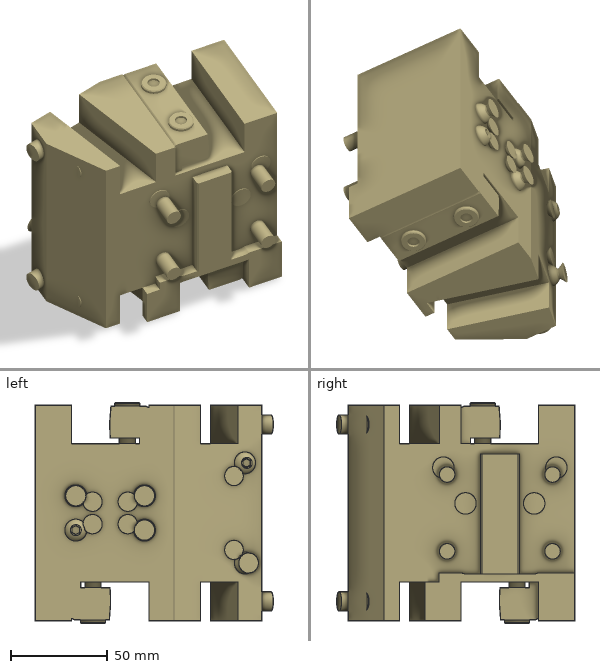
import cadquery as cq
import math


BODY_WIDTH = 62.0
BODY_LENGTH = 117.8
BODY_HEIGHT = 112.0
BACK_Y = 39.0
FRONT_Y = BACK_Y - BODY_LENGTH
TOP_Z = BODY_HEIGHT / 2
FACE_TILT = 15.0
SLANT_LENGTH_Y = 45.8
FRONT_BEVEL_TILT = 30.0
FRONT_BEVEL_WIDTH = 32.2
SLANT_TOP_Y = FRONT_Y + SLANT_LENGTH_Y

SLOT_WIDTH = 40.1
SLOT_DEPTH = 20.0
SLOT_FLOOR_Z = TOP_Z - SLOT_DEPTH
TILTED_SLOT_WIDTH = 20.0
TILTED_SLOT_OFFSET = 14.4

CLAMP_LENGTH = 60.1
CLAMP_CREST_Y = 0.2
CLAMP_UNDERSIDE_Y = 0.0
CLAMP_TOP_Y = -0.4
CLAMP_CREST_START = 5.2
CLAMP_CREST_WIDTH = 3.5
CLAMP_DROP = 0.5
CLAMP_TOP_Z = TOP_Z - CLAMP_DROP
CLAMP_GAP = 2.8
CLAMP_FOOT_WIDTH = 4.8
CLAMP_BEVEL_WIDTH = 1.6
CLAMP_BEVEL_DROP = 0.7
CLAMP_BOLT_X = (14.2, 46.2)
CLAMP_BOLT_Y = -8.9
BOLT_SHANK_DIAMETER = 8.5
BOLT_HEAD_DIAMETER = 13.1
BOLT_HEAD_HEIGHT = 1.9
BOLT_HEAD_CHAMFER = 0.5
BOLT_SOCKET_DIAMETER = 6.3
BOLT_SOCKET_DEPTH = 1.2

DOME_BASE_RADIUS = 5.7
DOME_CENTER_DEPTH = 1.1
NECK_DIAMETER = 5.7
HEX_ACROSS_CORNERS = 4.7
HEX_DEPTH = 1.9
SPRAY_TIP = 7.4
SPRAY_LENGTH = 2.7
SPRAY_DIAMETER = 10.5
LOW_SPRAY_HEIGHT = 2.5
LOW_SPRAY_DIAMETER = 10.0
LOW_SPRAY_BASE_DIAMETER = 6.0
BACK_NOZZLE_Y = 17.8
BACK_NOZZLE_Z = 8.9
BACK_LOW_SPRAY_Y = 9.2
BACK_LOW_SPRAY_Z = 5.8
SLANT_NOZZLE_OFFSET = 38.2
SLANT_NOZZLE_Z = 26.0
SLANT_LOW_SPRAY_OFFSET = 31.7
SLANT_LOW_SPRAY_Z = 19.2

PLUG_DIAMETER = 10.0
PLUG_Z = 45.9
PLUG_LENGTH = 7.4
PLUG_PROTRUSION = 6.0
LEFT_PLUG_X = 23.1
RIGHT_PLUG_X = 44.2
RIGHT_PLUG_SETBACK = 9.0

PLATE_THICKNESS = 5.3
PLATE_TOP_Z = -31.0
PLATE_STEP_Y = -31.7
RECESS_ARC_RADIUS = 7.4
RECESS_ARC_WIDTH = 3.2
KEY_WIDTH = 20.2
KEY_THICKNESS = 5.8
KEY_TOP_Z = 30.7
KEY_CHAMFER = 0.7
PIN_DIAMETER = 8.0
PIN_LENGTH = 13.1
PIN_Y = 27.3
PIN_Z = 19.9
BUTTON_DIAMETER = 11.1
BUTTON_HEIGHT = 0.5
BUTTON_CENTERS = ((17.8, 5.0), (29.3, 23.5))

EMBED = 1.2

tilt = math.radians(FACE_TILT)
ALONG_SLANT = cq.Vector(math.sin(tilt), -math.cos(tilt), 0)
SLANT_NORMAL = cq.Vector(-math.cos(tilt), -math.sin(tilt), 0)


def make_body():
    slant_width = SLANT_LENGTH_Y * math.tan(tilt)
    bevel_length = FRONT_BEVEL_WIDTH * math.tan(math.radians(FRONT_BEVEL_TILT))
    outline = [
        (0, BACK_Y),
        (0, SLANT_TOP_Y),
        (slant_width, FRONT_Y),
        (BODY_WIDTH - FRONT_BEVEL_WIDTH, FRONT_Y),
        (BODY_WIDTH, FRONT_Y + bevel_length),
        (BODY_WIDTH, BACK_Y),
    ]
    return cq.Workplane("XY").polyline(outline).close().extrude(TOP_Z, both=True)


def make_slots(z_center):
    """Cutter for the wide slot and the tilted slot, centred on the face at z_center."""
    slot_length = 2 * BODY_WIDTH
    wide = cq.Workplane("XY").box(slot_length, SLOT_WIDTH, 2 * SLOT_DEPTH)
    tilted_center = ALONG_SLANT * (TILTED_SLOT_OFFSET + TILTED_SLOT_WIDTH / 2)
    tilted = (
        cq.Workplane("XY")
        .box(2 * slot_length, TILTED_SLOT_WIDTH, 2 * SLOT_DEPTH)
        .rotate((0, 0, 0), (0, 0, 1), FACE_TILT)
        .translate(tilted_center + cq.Vector(0, SLANT_TOP_Y, 0))
    )
    return wide.union(tilted).translate((0, 0, z_center))


def make_clamp():
    """L-shaped bar of the top slot with its two bolts."""
    wall_y = -SLOT_WIDTH / 2
    underside_z = SLOT_FLOOR_Z + CLAMP_GAP
    crest_z = underside_z + CLAMP_CREST_START
    profile = [
        (CLAMP_TOP_Y, CLAMP_TOP_Z),
        (CLAMP_CREST_Y, crest_z + CLAMP_CREST_WIDTH),
        (CLAMP_CREST_Y, crest_z),
        (CLAMP_UNDERSIDE_Y, underside_z),
        (wall_y + CLAMP_FOOT_WIDTH, underside_z),
        (wall_y + CLAMP_FOOT_WIDTH, SLOT_FLOOR_Z),
        (wall_y, SLOT_FLOOR_Z),
        (wall_y, CLAMP_TOP_Z - CLAMP_BEVEL_DROP),
        (wall_y + CLAMP_BEVEL_WIDTH, CLAMP_TOP_Z),
    ]
    clamp = cq.Workplane("YZ").polyline(profile).close().extrude(CLAMP_LENGTH)
    for x in CLAMP_BOLT_X:
        shank = (
            cq.Workplane("XY", origin=(x, CLAMP_BOLT_Y, SLOT_FLOOR_Z - EMBED))
            .circle(BOLT_SHANK_DIAMETER / 2)
            .extrude(CLAMP_GAP + 2 * EMBED)
        )
        head = (
            cq.Workplane("XY", origin=(x, CLAMP_BOLT_Y, CLAMP_TOP_Z))
            .circle(BOLT_HEAD_DIAMETER / 2)
            .extrude(BOLT_HEAD_HEIGHT)
            .faces(">Z")
            .chamfer(BOLT_HEAD_CHAMFER)
            .faces(">Z")
            .workplane()
            .hole(BOLT_SOCKET_DIAMETER, BOLT_SOCKET_DEPTH)
        )
        clamp = clamp.union(shank).union(head)
    return clamp


def make_nozzle(with_spray):
    """Domed nozzle on the XY plane pointing to +Z, plain with a hexagon socket or with a spray cone."""
    sphere_radius = math.hypot(DOME_BASE_RADIUS, DOME_CENTER_DEPTH)
    neck_radius = NECK_DIAMETER / 2
    dome_height = math.sqrt(sphere_radius**2 - neck_radius**2) - DOME_CENTER_DEPTH
    arc_z = dome_height / 2
    arc_radius = math.sqrt(sphere_radius**2 - (arc_z + DOME_CENTER_DEPTH) ** 2)
    neck_top = SPRAY_TIP - SPRAY_LENGTH
    profile = (
        cq.Workplane("XZ")
        .moveTo(0, -EMBED)
        .lineTo(DOME_BASE_RADIUS, -EMBED)
        .lineTo(DOME_BASE_RADIUS, 0)
        .threePointArc((arc_radius, arc_z), (neck_radius, dome_height))
    )
    if with_spray:
        profile = (
            profile.lineTo(neck_radius, neck_top)
            .lineTo(SPRAY_DIAMETER / 2, SPRAY_TIP)
            .lineTo(0, SPRAY_TIP)
        )
    else:
        profile = profile.lineTo(0, dome_height)
    nozzle = profile.close().revolve(360, (0, 0, 0), (0, 1, 0))
    if not with_spray:
        socket = cq.Workplane("XY", origin=(0, 0, dome_height)).polygon(6, HEX_ACROSS_CORNERS)
        nozzle = nozzle.cut(socket.extrude(-HEX_DEPTH))
    return nozzle


def make_low_spray():
    """Short spray cone on the XY plane that opens towards +Z."""
    base_radius = LOW_SPRAY_BASE_DIAMETER / 2
    profile = [
        (0, -EMBED),
        (base_radius, -EMBED),
        (base_radius, 0),
        (LOW_SPRAY_DIAMETER / 2, LOW_SPRAY_HEIGHT),
        (0, LOW_SPRAY_HEIGHT),
    ]
    return cq.Workplane("XZ").polyline(profile).close().revolve(360, (0, 0, 0), (0, 1, 0))


def place(shape, origin, normal):
    """Move a shape built on the XY plane so that its +Z axis follows the normal."""
    plane = cq.Plane(origin=origin, xDir=(0, 0, 1), normal=normal)
    return cq.Workplane(shape.val().moved(cq.Location(plane)))


def slant_point(offset, z):
    return ALONG_SLANT * offset + cq.Vector(0, SLANT_TOP_Y, z)


def make_left_face_features():
    features = []
    left = cq.Vector(-1, 0, 0)
    for y_side in (-1, 1):
        for z_side in (-1, 1):
            with_spray = not (y_side == 1 and z_side == -1)
            nozzle_point = cq.Vector(0, y_side * BACK_NOZZLE_Y, z_side * BACK_NOZZLE_Z)
            spray_point = cq.Vector(0, y_side * BACK_LOW_SPRAY_Y, z_side * BACK_LOW_SPRAY_Z)
            features.append(place(make_nozzle(with_spray), nozzle_point, left))
            features.append(place(make_low_spray(), spray_point, left))
    for z_side in (-1, 1):
        nozzle_point = slant_point(SLANT_NOZZLE_OFFSET, z_side * SLANT_NOZZLE_Z)
        spray_point = slant_point(SLANT_LOW_SPRAY_OFFSET, z_side * SLANT_LOW_SPRAY_Z)
        features.append(place(make_nozzle(z_side == -1), nozzle_point, SLANT_NORMAL))
        features.append(place(make_low_spray(), spray_point, SLANT_NORMAL))
    return features


def make_plugs():
    left_plug_y = FRONT_Y - PLUG_PROTRUSION + PLUG_DIAMETER / 2 * math.sin(tilt)
    right_plug_y = FRONT_Y + RIGHT_PLUG_SETBACK
    plug = cq.Workplane("XY").circle(PLUG_DIAMETER / 2).extrude(-PLUG_LENGTH)
    return [
        place(plug, cq.Vector(x, y, z_side * PLUG_Z), ALONG_SLANT)
        for x, y in ((LEFT_PLUG_X, left_plug_y), (RIGHT_PLUG_X, right_plug_y))
        for z_side in (-1, 1)
    ]


def make_mounting_plate():
    """Low plate that straddles the bottom slot, with a shallow recess along its top edge."""
    half_slot = SLOT_WIDTH / 2
    arc_start_y = half_slot - RECESS_ARC_WIDTH
    recess_depth = RECESS_ARC_RADIUS - math.sqrt(RECESS_ARC_RADIUS**2 - RECESS_ARC_WIDTH**2)
    recess_z = PLATE_TOP_Z - recess_depth
    half_arc = RECESS_ARC_WIDTH / 2
    arc_mid_rise = RECESS_ARC_RADIUS - math.sqrt(RECESS_ARC_RADIUS**2 - half_arc**2)
    arc_mid_z = recess_z + arc_mid_rise
    plate = (
        cq.Workplane("YZ", origin=(BODY_WIDTH, 0, 0))
        .moveTo(BACK_Y, PLATE_TOP_Z)
        .lineTo(half_slot, PLATE_TOP_Z)
        .threePointArc((arc_start_y + half_arc, arc_mid_z), (arc_start_y, recess_z))
        .lineTo(-arc_start_y, recess_z)
        .threePointArc((-arc_start_y - half_arc, arc_mid_z), (-half_slot, PLATE_TOP_Z))
        .lineTo(PLATE_STEP_Y, PLATE_TOP_Z)
        .lineTo(PLATE_STEP_Y, -SLOT_FLOOR_Z)
        .lineTo(-BACK_Y, -SLOT_FLOOR_Z)
        .lineTo(-BACK_Y, -TOP_Z)
        .lineTo(-half_slot, -TOP_Z)
        .lineTo(-half_slot, -SLOT_FLOOR_Z)
        .lineTo(half_slot, -SLOT_FLOOR_Z)
        .lineTo(half_slot, -TOP_Z)
        .lineTo(BACK_Y, -TOP_Z)
        .close()
        .extrude(PLATE_THICKNESS)
    )
    key = (
        cq.Workplane("YZ", origin=(BODY_WIDTH - EMBED, 0, (KEY_TOP_Z + recess_z) / 2))
        .rect(KEY_WIDTH, KEY_TOP_Z - recess_z)
        .extrude(EMBED + KEY_THICKNESS)
        .edges(">X and |Z")
        .chamfer(KEY_CHAMFER)
    )
    return plate.union(key)


def make_mounting_cylinders():
    base = cq.Workplane("YZ", origin=(BODY_WIDTH - EMBED, 0, 0))
    pin_centers = [(y, z) for y in (-PIN_Y, PIN_Y) for z in (-PIN_Z, PIN_Z)]
    pins = base.pushPoints(pin_centers).circle(PIN_DIAMETER / 2).extrude(EMBED + PIN_LENGTH)
    button_centers = [(side * y, z) for side in (-1, 1) for y, z in BUTTON_CENTERS]
    buttons = base.pushPoints(button_centers).circle(BUTTON_DIAMETER / 2).extrude(EMBED + BUTTON_HEIGHT)
    return [pins, buttons]


body = make_body().cut(make_slots(TOP_Z)).cut(make_slots(-TOP_Z))

top_clamp = make_clamp()
additions = [top_clamp, top_clamp.rotate((0, 0, 0), (1, 0, 0), 180)]
additions += make_left_face_features()
additions += make_plugs()
additions.append(make_mounting_plate())
additions += make_mounting_cylinders()

for addition in additions:
    body = body.union(addition)

result = body